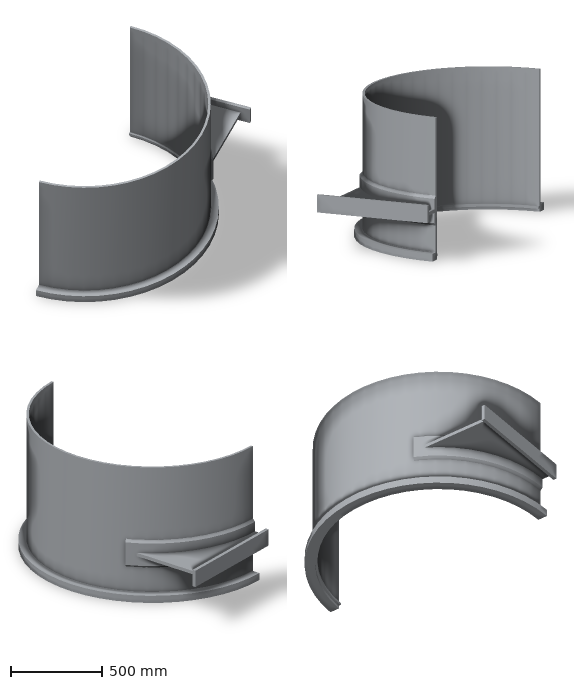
import cadquery as cq
import math

total_height = 800.0
wall_outer_radius = 690.0
wall_thickness = 14.0
wall_inner_radius = wall_outer_radius - wall_thickness
ring_outer_radius = 735.0
ring_height = 43.0

lip_depth = 12.0
lip_height = 14.0
lip_bottom = 18.0

bead_size = 3.0

bracket_level = 278.0
pad_height = 167.0
pad_thickness = 15.0
pad_sweep = 65.0
plate_back = 800.0
plate_thickness = 20.0
plate_height = 98.0
plate_length = 666.0
web_thickness = 20.0
web_length = 611.0


def half_round(profile):
    """Revolve an (r, z) profile from the -Y axis through +X to the +Y axis."""
    return cq.Workplane("XZ").polyline(profile).close().revolve(
        180, (0, 0, 0), (0, 1, 0)
    ).rotate((0, 0, 0), (0, 0, 1), -90)


def make_shell():
    lip_inner_radius = wall_inner_radius - lip_depth
    lip_top = lip_bottom + lip_height
    bead_radius = wall_outer_radius + bead_size
    profile = [
        (wall_inner_radius, 0),
        (ring_outer_radius, 0),
        (ring_outer_radius, ring_height),
        (bead_radius, ring_height),
        (wall_outer_radius, ring_height + bead_size),
        (wall_outer_radius, total_height),
        (wall_inner_radius, total_height),
        (wall_inner_radius, lip_top),
        (lip_inner_radius, lip_top),
        (lip_inner_radius, lip_bottom),
        (wall_inner_radius, lip_bottom),
    ]
    return half_round(profile)


def make_pad():
    """Curved strip from the +Y end of the wall, its long edges bevelled at 45 degrees."""
    half_height = pad_height / 2
    half_face = half_height - pad_thickness
    pad_outer_radius = wall_outer_radius + pad_thickness
    profile = [
        (wall_outer_radius, bracket_level - half_height),
        (pad_outer_radius, bracket_level - half_face),
        (pad_outer_radius, bracket_level + half_face),
        (wall_outer_radius, bracket_level + half_height),
    ]
    strip = cq.Workplane("XZ").polyline(profile).close().revolve(
        pad_sweep, (0, 0, 0), (0, 1, 0)
    )
    return strip.rotate((0, 0, 0), (0, 0, 1), 90 - pad_sweep)


def make_web(plate_front):
    """Level plate filling the space between the wall and the back plate."""
    end_angle = math.acos(web_length / wall_outer_radius)
    mid_angle = (end_angle + math.pi / 2) / 2
    arc_mid = (wall_outer_radius * math.cos(mid_angle), wall_outer_radius * math.sin(mid_angle))
    arc_end_y = wall_outer_radius * math.sin(end_angle)
    return (
        cq.Workplane("XY", origin=(0, 0, bracket_level - web_thickness / 2))
        .moveTo(0, wall_outer_radius)
        .threePointArc(arc_mid, (web_length, arc_end_y))
        .lineTo(web_length, plate_front)
        .lineTo(0, plate_front)
        .close()
        .extrude(web_thickness)
    )


def make_bracket():
    plate_front = plate_back - plate_thickness
    plate = cq.Workplane("XY").box(
        plate_length, plate_thickness, plate_height, centered=(False, False, True)
    ).translate((0, plate_front, bracket_level))
    return plate.union(make_web(plate_front)).union(make_pad())


shell = make_shell()
bracket = make_bracket()

result = cq.Compound.makeCompound([shell.val(), bracket.val()])